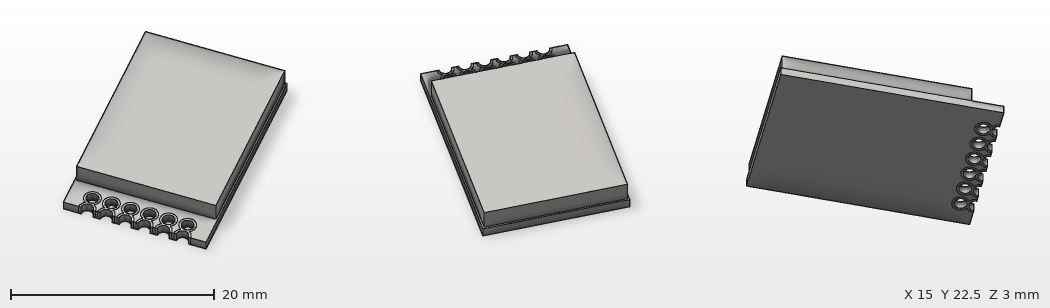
import cadquery as cq

board_width = 15.0
board_length = 22.5
board_thickness = 1.0
total_height = 3.0

cover_margin = 0.18
cover_front_setback = 3.2

pad_count = 6
pad_pitch = 2.0
pad_diameter = 1.75
hole_diameter = 1.25
hole_setback = 1.48

front_edge = -board_length / 2
hole_y = front_edge + hole_setback
first_pad_x = -pad_pitch * (pad_count - 1) / 2
pad_positions = [first_pad_x + i * pad_pitch for i in range(pad_count)]


def make_blank():
    """Plain board plate, before the pads are let in."""
    return cq.Workplane("XY").box(
        board_width, board_length, board_thickness, centered=(True, True, False)
    )


def circle_pair(x, diameter):
    """Two board-thick cylinders: one at the hole, one on the front edge."""
    hole_side = cq.Workplane("XY").center(x, hole_y).circle(diameter / 2).extrude(board_thickness)
    edge_side = cq.Workplane("XY").center(x, front_edge).circle(diameter / 2).extrude(board_thickness)
    return hole_side.union(edge_side)


def make_board():
    """Board with a keyhole-shaped recess through it for every pad."""
    board = make_blank()
    for x in pad_positions:
        board = board.cut(circle_pair(x, pad_diameter))
    return board


def make_pad(x):
    """Plated pad with a through hole and a half-round notch in the front edge."""
    outline = circle_pair(x, pad_diameter).intersect(make_blank())
    return outline.cut(circle_pair(x, hole_diameter))


def make_cover():
    """Rectangular cover standing on the board."""
    width = board_width - 2 * cover_margin
    length = board_length - cover_front_setback - cover_margin
    centre_y = front_edge + cover_front_setback + length / 2
    return (
        cq.Workplane("XY", origin=(0, centre_y, board_thickness))
        .rect(width, length)
        .extrude(total_height - board_thickness)
    )


board = make_board()
cover = make_cover()
pads = [make_pad(x) for x in pad_positions]

bodies = [board, cover, *pads]
result = cq.Compound.makeCompound([body.solids().val() for body in bodies])